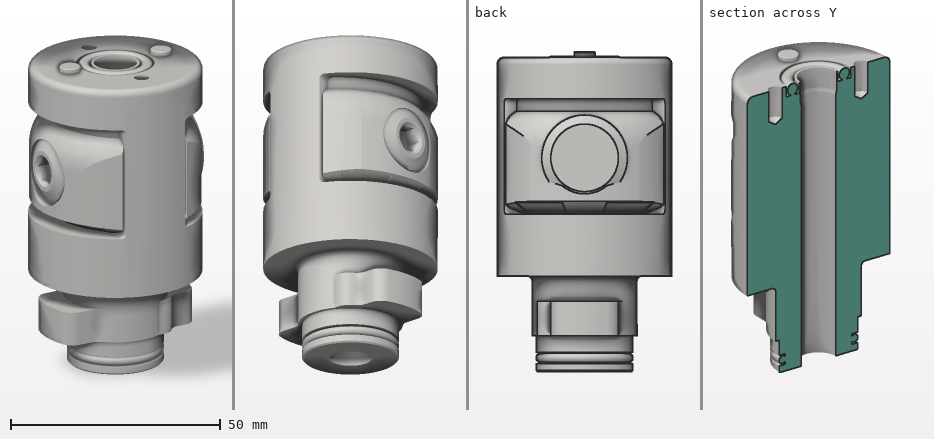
import cadquery as cq
import math

BODY_R = 20.8
BODY_BOTTOM = 22.7
BODY_TOP = 74.85
BODY_TOP_ROUND = 1.7
BORE_R = 5.0

NECK_R = 12.5
NECK_BOTTOM = 8.54
NECK_ROUND = 1.1
SPIGOT_R = 11.55
SPIGOT_CHAMFER = 0.35
SEAL_GROOVE_BOTTOM = 1.9
SEAL_GROOVE_TOP = 4.55
SEAL_GROOVE_R = 9.7
SEAL_CORD_R = 1.05
SEAL_CENTRE_Z = 3.25

LUG_TOP = 16.75
LUG_R = 18.66
LUG_HALF_WIDTH = 8.0
LUG_OUTER_ROUND = 3.5
LUG_ROOT_ROUND = 2.7
LUG_HEEL_X = 11.25
LUG_HEEL_Y = -6.96
LUG_HEEL_ROUND = 3.5
LUG_HOLLOW_ROUND = 3.0

WINDOW_BOTTOM = 37.5
WINDOW_TOP = 65.0
WINDOW_WALL_Y = 8.1
WINDOW_CORNER_R = 1.1
CUT_CLEARANCE = 1.0

JAW_AXIS_OFFSET = 4.3
JAW_REACH = 20.0
JAW_NECK_REACH = 16.05
JAW_DOME_TOP_REACH = 16.2
JAW_DOME_TOP = 62.0
JAW_DOME_BOTTOM = 53.8
JAW_CONE_TOP = 40.55
JAW_CONE_ANGLE = 30.0
JAW_END_Y = 8.9
RELIEF_DEPTH = 0.2
RELIEF_RIM = 0.6
RELIEF_START_ANGLE = 13.0
RELIEF_END_ANGLE = 44.0

SCREW_Z = 50.9
SCREW_FACE_Y = 19.86
SCREW_FACE_R = 4.95
SCREW_HEAD_R = 7.6
SCREW_CONE_DEPTH = 1.4
SEAT_Y = 15.5
SEAT_R = 8.1
SEAT_DROP = 0.5
HEX_ACROSS_FLATS = 6.0
HEX_DEPTH = 4.0
HEX_RIM_R = 3.9
CAP_FACE_Y = 19.67
CAP_FACE_R = 8.05
CAP_R = 10.2
CAP_CONE_DEPTH = 1.2
CAP_ROOT_Y = 15.0

FITTING_OFFSET = 12.5
PIN_R = 2.5
PIN_TOP = 76.17
PIN_CHAMFER = 0.2
PIN_SEAT_DEPTH = 2.5
HOLE_R = 1.85
HOLE_DEPTH = 8.0
DRILL_POINT_ANGLE = 118.0
PORT_GROOVE_INNER_R = 5.75
PORT_GROOVE_OUTER_R = 9.35
PORT_GROOVE_DEPTH = 2.7
PORT_RING_R = 7.55
PORT_CORD_R = 1.55
PORT_RING_TOP = 75.15
PORT_BORE_R = 5.2
PORT_BORE_DEPTH = 5.2
PORT_STEP_HEIGHT = 0.9


def cylinder(radius, bottom, top):
    return cq.Workplane("XY").workplane(offset=bottom).circle(radius).extrude(top - bottom)


def ring(centre_r, cord_r, z):
    """Round-section ring about Z."""
    section = cq.Workplane("XZ").center(centre_r, z).circle(cord_r)
    return section.revolve(360, (-centre_r, 0, 0), (-centre_r, 1, 0))


def turned_y(points):
    """Solid turned about the Y axis line at screw height, from (y, radius) points."""
    profile = [(radius, y) for y, radius in points]
    solid = cq.Workplane("XY").polyline(profile).close().revolve(360, (0, 0, 0), (0, 1, 0))
    return solid.translate((0, 0, SCREW_Z))


def make_spigot():
    neck_root_r = NECK_R + NECK_ROUND
    neck_round_z = BODY_BOTTOM - NECK_ROUND
    mid = NECK_ROUND * (1 - math.sqrt(0.5))
    profile = (
        cq.Workplane("XZ")
        .lineTo(SPIGOT_R - SPIGOT_CHAMFER, 0)
        .lineTo(SPIGOT_R, SPIGOT_CHAMFER)
        .lineTo(SPIGOT_R, SEAL_GROOVE_BOTTOM)
        .lineTo(SEAL_GROOVE_R, SEAL_GROOVE_BOTTOM)
        .lineTo(SEAL_GROOVE_R, SEAL_GROOVE_TOP)
        .lineTo(SPIGOT_R, SEAL_GROOVE_TOP)
        .lineTo(SPIGOT_R, NECK_BOTTOM)
        .lineTo(NECK_R, NECK_BOTTOM)
        .lineTo(NECK_R, neck_round_z)
        .threePointArc((NECK_R + mid, BODY_BOTTOM - mid), (neck_root_r, BODY_BOTTOM))
        .lineTo(0, BODY_BOTTOM)
        .close()
    )
    seal = ring(SPIGOT_R - SEAL_CORD_R, SEAL_CORD_R, SEAL_CENTRE_Z)
    return profile.revolve(360, (0, 0, 0), (0, 1, 0)).union(seal)


def arc_middle(centre, radius, start, end):
    """Point halfway along the short arc from start to end."""
    dx = (start[0] + end[0]) / 2 - centre[0]
    dy = (start[1] + end[1]) / 2 - centre[1]
    scale = radius / math.hypot(dx, dy)
    return (centre[0] + dx * scale, centre[1] + dy * scale)


def make_lug():
    """Lug on the -Y side; every round runs tangent into its neighbours."""
    corner_x = LUG_HALF_WIDTH - LUG_OUTER_ROUND
    corner_y = -math.sqrt((LUG_R - LUG_OUTER_ROUND) ** 2 - corner_x**2)
    reach = LUG_R / (LUG_R - LUG_OUTER_ROUND)
    right_tip = (corner_x * reach, corner_y * reach)
    left_tip = (-right_tip[0], right_tip[1])
    right_flank = (LUG_HALF_WIDTH, corner_y)
    left_flank = (-LUG_HALF_WIDTH, corner_y)

    root_x = LUG_HALF_WIDTH + LUG_ROOT_ROUND
    root_y = -math.sqrt((NECK_R + LUG_ROOT_ROUND) ** 2 - root_x**2)
    root_start = (LUG_HALF_WIDTH, root_y)
    to_neck = NECK_R / (NECK_R + LUG_ROOT_ROUND)
    root_end = (root_x * to_neck, root_y * to_neck)

    heel = (LUG_HEEL_ROUND - LUG_HEEL_X, LUG_HEEL_Y)
    hollow_x = -LUG_HALF_WIDTH - LUG_HOLLOW_ROUND
    span = LUG_HEEL_ROUND + LUG_HOLLOW_ROUND
    hollow = (hollow_x, LUG_HEEL_Y - math.sqrt(span**2 - (heel[0] - hollow_x) ** 2))
    hollow_start = (-LUG_HALF_WIDTH, hollow[1])
    share = LUG_HEEL_ROUND / span
    blend = (heel[0] + (hollow[0] - heel[0]) * share, heel[1] + (hollow[1] - heel[1]) * share)
    heel_end = (-LUG_HEEL_X, LUG_HEEL_Y)
    heel_root = (-LUG_HEEL_X, -math.sqrt(NECK_R**2 - LUG_HEEL_X**2))

    outline = (
        cq.Workplane("XY")
        .workplane(offset=NECK_BOTTOM)
        .moveTo(0, 0)
        .lineTo(*root_end)
        .threePointArc(arc_middle((root_x, root_y), LUG_ROOT_ROUND, root_end, root_start), root_start)
        .lineTo(*right_flank)
        .threePointArc(arc_middle((corner_x, corner_y), LUG_OUTER_ROUND, right_flank, right_tip), right_tip)
        .threePointArc((0, -LUG_R), left_tip)
        .threePointArc(arc_middle((-corner_x, corner_y), LUG_OUTER_ROUND, left_tip, left_flank), left_flank)
        .lineTo(*hollow_start)
        .threePointArc(arc_middle(hollow, LUG_HOLLOW_ROUND, hollow_start, blend), blend)
        .threePointArc(arc_middle(heel, LUG_HEEL_ROUND, blend, heel_end), heel_end)
        .lineTo(*heel_root)
        .close()
    )
    return outline.extrude(LUG_TOP - NECK_BOTTOM)


def make_window():
    """Cutter for the -Y window."""
    depth = BODY_R - WINDOW_WALL_Y + CUT_CLEARANCE
    height = WINDOW_TOP - WINDOW_BOTTOM
    block = cq.Workplane("XY").box(2 * (BODY_R + CUT_CLEARANCE), depth, height)
    block = block.translate((0, -WINDOW_WALL_Y - depth / 2, (WINDOW_TOP + WINDOW_BOTTOM) / 2))
    return block.edges("|X and >Y").fillet(WINDOW_CORNER_R)


def make_relief(jaw_r, start_angle):
    """Cutter for a shallow recess in the cone under the -Y jaw, angled from -Y."""
    slope = math.tan(math.radians(JAW_CONE_ANGLE))
    rim_r = jaw_r - RELIEF_RIM
    rim_z = JAW_CONE_TOP - RELIEF_RIM * slope
    inner_r = jaw_r - (JAW_CONE_TOP - WINDOW_BOTTOM + RELIEF_DEPTH) / slope
    profile = [(inner_r, WINDOW_BOTTOM), (rim_r, WINDOW_BOTTOM), (rim_r, rim_z + RELIEF_DEPTH)]
    sweep = RELIEF_END_ANGLE - RELIEF_START_ANGLE
    recess = cq.Workplane("XZ").polyline(profile).close().revolve(sweep, (0, 0, 0), (0, 1, 0))
    return recess.rotate((0, 0, 0), (0, 0, 1), start_angle - 90).translate((0, JAW_AXIS_OFFSET, 0))


def make_jaw():
    """Jaw on the -Y side, with an empty seat for its screw or cap."""
    outer_r = JAW_REACH + JAW_AXIS_OFFSET
    dome_top_r = JAW_DOME_TOP_REACH + JAW_AXIS_OFFSET
    neck_r = JAW_NECK_REACH + JAW_AXIS_OFFSET
    cone_bottom_r = outer_r - (JAW_CONE_TOP - WINDOW_BOTTOM) / math.tan(math.radians(JAW_CONE_ANGLE))

    rise = JAW_DOME_TOP - JAW_DOME_BOTTOM
    inset = outer_r - dome_top_r
    dome_r = (rise**2 + inset**2) / (2 * inset)
    half_sweep = math.asin(rise / dome_r) / 2
    dome_middle = (
        outer_r - dome_r * (1 - math.cos(half_sweep)),
        JAW_DOME_BOTTOM + dome_r * math.sin(half_sweep),
    )
    jaw = (
        cq.Workplane("XZ")
        .moveTo(0, WINDOW_BOTTOM)
        .lineTo(cone_bottom_r, WINDOW_BOTTOM)
        .lineTo(outer_r, JAW_CONE_TOP)
        .lineTo(outer_r, JAW_DOME_BOTTOM)
        .threePointArc(dome_middle, (dome_top_r, JAW_DOME_TOP))
        .lineTo(neck_r, JAW_DOME_TOP)
        .lineTo(neck_r, WINDOW_TOP)
        .lineTo(0, WINDOW_TOP)
        .close()
        .revolve(360, (0, 0, 0), (0, 1, 0))
        .translate((0, JAW_AXIS_OFFSET, 0))
    )

    for start in (RELIEF_START_ANGLE, -RELIEF_END_ANGLE):
        jaw = jaw.cut(make_relief(outer_r, start))

    end_x = math.sqrt(BODY_R**2 - JAW_END_Y**2)
    wall_x = end_x - (JAW_END_Y - WINDOW_WALL_Y)
    far = BODY_R - JAW_END_Y
    limits = (
        cq.Workplane("XY")
        .workplane(offset=WINDOW_BOTTOM)
        .moveTo(-wall_x, -WINDOW_WALL_Y)
        .lineTo(-end_x - far, -BODY_R)
        .lineTo(end_x + far, -BODY_R)
        .lineTo(wall_x, -WINDOW_WALL_Y)
        .close()
        .extrude(WINDOW_TOP - WINDOW_BOTTOM)
    )
    jaw = jaw.intersect(cylinder(BODY_R, WINDOW_BOTTOM, WINDOW_TOP)).intersect(limits)

    seat = turned_y([(-SEAT_Y, 0), (-SEAT_Y, SEAT_R), (-BODY_R, SEAT_R), (-BODY_R, 0)])
    return jaw.cut(seat.translate((0, 0, -SEAT_DROP)))


def add_screw(jaw):
    """Fit a hex socket screw in the seat of the -Y jaw."""
    shoulder_y = SCREW_FACE_Y - SCREW_CONE_DEPTH
    head = turned_y([
        (-SEAT_Y, 0),
        (-SEAT_Y, SCREW_HEAD_R),
        (-shoulder_y, SCREW_HEAD_R),
        (-SCREW_FACE_Y, SCREW_FACE_R),
        (-SCREW_FACE_Y, 0),
    ])
    hex_corner_r = HEX_ACROSS_FLATS / math.sqrt(3)
    hex_floor_y = SCREW_FACE_Y - HEX_DEPTH
    socket = (
        cq.Workplane("XZ", origin=(0, -hex_floor_y, SCREW_Z))
        .polygon(6, 2 * hex_corner_r)
        .extrude(HEX_DEPTH)
    )
    flat_r = HEX_ACROSS_FLATS / 2
    point_y = hex_floor_y - flat_r / math.tan(math.radians(DRILL_POINT_ANGLE / 2))
    point = turned_y([(-hex_floor_y, 0), (-hex_floor_y, flat_r), (-point_y, 0)])
    rim_y = SCREW_FACE_Y - (HEX_RIM_R - flat_r)
    rim = turned_y([(-SCREW_FACE_Y, 0), (-SCREW_FACE_Y, HEX_RIM_R), (-rim_y, flat_r), (-rim_y, 0)])
    return jaw.union(head).cut(socket).cut(point).cut(rim)


def make_cap():
    """Bevelled round cap on the +Y jaw."""
    return turned_y([
        (CAP_ROOT_Y, 0),
        (CAP_ROOT_Y, CAP_R),
        (CAP_FACE_Y - CAP_CONE_DEPTH, CAP_R),
        (CAP_FACE_Y, CAP_FACE_R),
        (CAP_FACE_Y, 0),
    ])


def make_pin(y):
    pin = cylinder(PIN_R, BODY_TOP - PIN_SEAT_DEPTH, PIN_TOP)
    return pin.faces(">Z").chamfer(PIN_CHAMFER).translate((0, y, 0))


def make_blind_hole(x):
    floor = BODY_TOP - HOLE_DEPTH
    point = HOLE_R / math.tan(math.radians(DRILL_POINT_ANGLE / 2))
    profile = [(0, BODY_TOP), (HOLE_R, BODY_TOP), (HOLE_R, floor), (0, floor - point)]
    hole = cq.Workplane("XZ").polyline(profile).close().revolve(360, (0, 0, 0), (0, 1, 0))
    return hole.translate((x, 0, 0))


def make_bore():
    """Through bore with a slightly wider mouth at the top."""
    step_z = BODY_TOP - PORT_BORE_DEPTH
    profile = [
        (0, 0),
        (BORE_R, 0),
        (BORE_R, step_z - PORT_STEP_HEIGHT),
        (PORT_BORE_R, step_z),
        (PORT_BORE_R, BODY_TOP),
        (0, BODY_TOP),
    ]
    return cq.Workplane("XZ").polyline(profile).close().revolve(360, (0, 0, 0), (0, 1, 0))


def half_turn(solid):
    return solid.rotate((0, 0, 0), (0, 0, 1), 180)


body = cylinder(BODY_R, BODY_BOTTOM, BODY_TOP).faces(">Z").edges().fillet(BODY_TOP_ROUND)
window = make_window()
body = body.cut(window).cut(half_turn(window))

jaw = make_jaw()
body = body.union(add_screw(jaw)).union(half_turn(jaw)).union(make_cap())

lug = make_lug()
body = body.union(make_spigot()).union(lug).union(half_turn(lug))

groove_floor = BODY_TOP - PORT_GROOVE_DEPTH
groove = cylinder(PORT_GROOVE_OUTER_R, groove_floor, BODY_TOP)
groove = groove.cut(cylinder(PORT_GROOVE_INNER_R, groove_floor, BODY_TOP))
port_ring = ring(PORT_RING_R, PORT_CORD_R, PORT_RING_TOP - PORT_CORD_R)
body = body.cut(groove).cut(make_bore()).union(port_ring)
for side in (-1, 1):
    body = body.union(make_pin(side * FITTING_OFFSET))
    body = body.cut(make_blind_hole(side * FITTING_OFFSET))

result = body